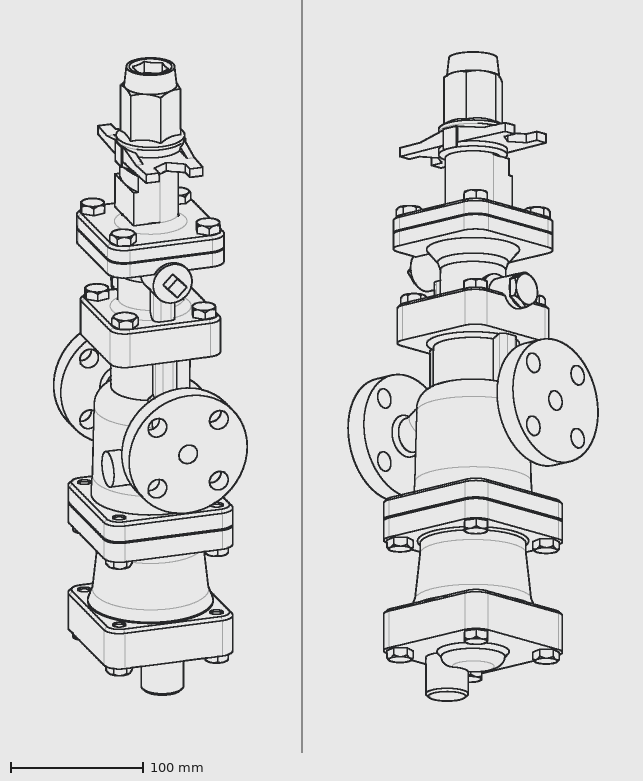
import cadquery as cq
import math

TOTAL_HEIGHT = 495.0

FACE_TO_FACE = 170.0
PIPE_FLANGE_DIA = 95.0
PIPE_FLANGE_THICKNESS = 16.5
PIPE_AXIS_Z = 211.5
PIPE_DIA = 26.0
PIPE_COLLAR_DIA = 32.0
PIPE_COLLAR_LENGTH = 4.0
PORT_DIA = 15.0
PORT_DEPTH = 29.5
FLANGE_BOLT_CIRCLE = 70.0
FLANGE_BOLT_HOLE_DIA = 15.0
ELBOW_X = 58.5
ELBOW_ANGLE = 31.0
ELBOW_RADIUS = 26.0
ELBOW_LEG = 39.5

TRAP_COVER = {"bottom": 30.0, "top": 61.5, "side": 103.0, "corner": 12.5}
BODY_BASE = {"bottom": 117.0, "joint": 132.5, "top": 148.5, "side": 103.0, "corner": 12.5}
VALVE_SEAT = {"bottom": 271.5, "top": 301.0, "side": 88.0, "corner": 12.0}
BONNET = {"bottom": 345.0, "joint": 357.0, "top": 370.0, "side": 93.0, "corner": 13.5}
FLANGE_CHAMFER = 2.5
JOINT_GAP = 1.0
JOINT_DEPTH = 1.0
GASKET_DIA = 80.0

BOLT_ACROSS_FLATS = 17.5
BOLT_HEAD_HEIGHT = 7.0
BOLT_CHAMFER = 1.5
BOLT_HOLE_DIA = 10.0
BOLT_HOLE_RECESS = 1.5
LOWER_BOLT_OFFSET = 39.0
SEAT_BOLT_OFFSET = 31.5
BONNET_BOLT_OFFSET = 34.0

NECK_RADIUS = 24.8
UPPER_BODY_RADIUS = 60.0 / 2
TRAP_TOP_RADIUS = 80.0 / 2
BODY_RADIUS = 88.0 / 2
BODY_FOOT_RADIUS = 90.0 / 2
TRAP_FOOT_RADIUS = 95.0 / 2
TRAP_FOOT_Z = 62.5
TRAP_TAPER_BOTTOM = 71.5
TRAP_TAPER_TOP = 107.5
TRAP_FLARE = 2.5
BODY_FOOT_TOP = 163.5
SHOULDER_RADIUS = 42.5
SHOULDER_BOTTOM = 219.0
SHOULDER_ARC_MIDDLE = (38.5, 230.5)
SHOULDER_TOP = 235.5
UPPER_BODY_FLARE_HEIGHT = 3.0
FLARE_RADIUS = 35.0
NECK_FOOT_FILLET = 6.0
NECK_TOP = 329.0
NECK_BELL_RADIUS = 26.5
NECK_BELL_Z = 335.0

DISH_BOTTOM = 19.0
DISH_FLAT_RADIUS = 16.0
DISH_ARC_MIDDLE = (22.0, 21.5)
DISH_ARC_END = (24.5, 26.0)
DISH_ROOT_RADIUS = 27.5

RIB_REACH = 39.0
RIB_WIDTH = 17.0
RIB_ROUNDING = 4.5
RIB_BOTTOM = 227.5
CHANNEL_REACH = 34.5
CHANNEL_TOP = 326.5
STRAINER_PLUG_Z = 304.0
STRAINER_PLUG_ACROSS_FLATS = 24.0
STRAINER_BOSS_DIA = 26.0
STRAINER_FLARE_RADIUS = 17.5
STRAINER_FLARE_X = 28.0
STRAINER_BOSS_REACH = 49.5
STRAINER_PLUG_REACH = 55.5
PILOT_PLUG_Z = 337.0
PILOT_BOSS_DIA = 31.0
PILOT_BOSS_REACH = 50.0
PILOT_PLUG_DIAGONAL = 15.5
PILOT_PLUG_REACH = 60.5
FRONT_BOSS_DIA = 27.0
FRONT_BOSS_X = 29.0
FRONT_BOSS_Z = 184.5
FRONT_BOSS_REACH = 44.5

OUTLET_DIA = 32.0
OUTLET_X = 26.5
OUTLET_CHAMFER = 2.0

STEM_DIA = 42.0
STEM_FLARE = 6.5
PAD_STEP_Z = 403.0
PAD_TOP_Z = 416.0
UPPER_PAD_DEPTH = 17.5
COLLAR_DIA = 52.0
COLLAR_FOOT_Z = 417.0
COLLAR_RIM_Z = 437.0
COLLAR_CONE_TOP = 443.0
HUB_RADIUS = 24.0
COLLAR_BOTTOM = 419.5
CAP_HEX_BOTTOM = 439.5
CAP_HEX_TOP = 480.0
CAP_ACROSS_FLATS = 40.0
CAP_TOP_DIA = 36.5
CAP_HEX_CHAMFER = 2.0
SOCKET_ACROSS_FLATS = 24.0
SOCKET_DEPTH = 10.0
SOCKET_MOUTH_DIA = 32.0
SOCKET_MOUTH_DEPTH = 1.5
HANDLE_LENGTH = 108.5
HANDLE_WIDTH = 45.5
HANDLE_BOTTOM = 423.0
HANDLE_TOP = 430.0
FORK_WIDTH = 24.8
FORK_SHOULDER_X = 43.5
FORK_TIP_X = 35.5
GUSSET_LENGTH = 65.5
GUSSET_OUTER_Y = 24.8
GUSSET_THICKNESS = 7.0
GUSSET_TOP_Z = 435.5
CLASP_WIDTH = 13.5

EPS = 0.5


def cylinder_z(dia, bottom, top, x=0, y=0):
    """Vertical cylinder between two heights."""
    return cq.Workplane("XY", origin=(x, y, bottom)).circle(dia / 2).extrude(top - bottom)


def cylinder_x(dia, start, end, z):
    """Cylinder along X, centred on the XZ plane."""
    return cq.Workplane("YZ", origin=(start, 0, z)).circle(dia / 2).extrude(end - start)


def box_between(x0, x1, y0, y1, z0, z1):
    """Box given by its limits along X, Y and Z."""
    return cq.Workplane("XY").box(x1 - x0, y1 - y0, z1 - z0, centered=False).translate((x0, y0, z0))


def hexagon_z(across_flats, height):
    """Hexagonal prism standing on the XY plane with two corners on the X axis."""
    return cq.Workplane("XY").polygon(6, 2 * across_flats / math.sqrt(3)).extrude(height)


def revolve_z(profile):
    """Turn a closed XZ profile round the Z axis."""
    return profile.close().revolve(360, (0, 0, 0), (0, 1, 0))


def at_corners(offset):
    """Angle and position of four points at the corners of a square of half side offset."""
    radius = offset * math.sqrt(2)
    corners = []
    for angle in (45, 135, 225, 315):
        turn = math.radians(angle)
        corners.append((angle, radius * math.cos(turn), radius * math.sin(turn)))
    return corners


def chamfered_hexagon(across_flats, height, chamfer):
    """Hexagonal prism whose top corners are turned down to the flats."""
    corner_radius = across_flats / math.sqrt(3)
    turned = revolve_z(
        cq.Workplane("XZ").lineTo(corner_radius, 0).lineTo(corner_radius, height - chamfer)
        .lineTo(across_flats / 2, height).lineTo(0, height)
    )
    return hexagon_z(across_flats, height).intersect(turned)


def square_flange(size):
    """Rounded square block of two plates, chamfered on top."""
    height = size["top"] - size["bottom"]
    return (
        cq.Workplane("XY", origin=(0, 0, size["bottom"]))
        .rect(size["side"], size["side"])
        .extrude(height)
        .edges("|Z")
        .fillet(size["corner"])
        .faces(">Z")
        .chamfer(FLANGE_CHAMFER)
    )


def joint_slab(size):
    """Thin slab that fills the joint between the two plates of a flange."""
    half = size["side"] / 2 + 5
    low = size["joint"] - JOINT_GAP / 2
    return box_between(-half, half, -half, half, low, low + JOINT_GAP)


def grooved_flange(size):
    """Square flange whose joint shows as a shallow groove all round."""
    inner_side = size["side"] - 2 * JOINT_DEPTH
    core = (
        cq.Workplane("XY", origin=(0, 0, size["bottom"]))
        .rect(inner_side, inner_side)
        .extrude(size["top"] - size["bottom"])
        .edges("|Z")
        .fillet(size["corner"] - JOINT_DEPTH)
    )
    return square_flange(size).cut(joint_slab(size).cut(core))


def bonnet_flange():
    """Square flange whose plates are held apart by a round gasket."""
    gasket = cylinder_z(GASKET_DIA, BONNET["bottom"], BONNET["top"])
    return square_flange(BONNET).cut(joint_slab(BONNET).cut(gasket))


def bolt_heads(offset, seat_z, crown):
    """Four hexagon heads on a flange face, pointing up (crown 1) or down (crown -1)."""
    blank = chamfered_hexagon(BOLT_ACROSS_FLATS, BOLT_HEAD_HEIGHT, BOLT_CHAMFER)
    if crown < 0:
        blank = blank.mirror("XY")
    heads = cq.Workplane("XY")
    for angle, x, y in at_corners(offset):
        head = blank.rotate((0, 0, 0), (0, 0, 1), angle)
        heads = heads.add(head.translate((x, y, seat_z)))
    return heads.combine()


def bolt_end_recesses(size):
    """Shallow recesses over the bolt ends on top of a flange."""
    bottom = size["top"] - BOLT_HOLE_RECESS
    recesses = cq.Workplane("XY")
    for _, x, y in at_corners(LOWER_BOLT_OFFSET):
        recesses = recesses.add(cylinder_z(BOLT_HOLE_DIA, bottom, size["top"], x, y))
    return recesses.combine()


def bottom_dish():
    """Shallow rounded dish under the trap cover."""
    top = TRAP_COVER["bottom"] + EPS
    return revolve_z(
        cq.Workplane("XZ").moveTo(0, DISH_BOTTOM).lineTo(DISH_FLAT_RADIUS, DISH_BOTTOM)
        .threePointArc(DISH_ARC_MIDDLE, DISH_ARC_END)
        .lineTo(DISH_ROOT_RADIUS, top).lineTo(0, top)
    )


def trap_casing():
    """Tapered casing between the trap cover and the base of the main body."""
    bottom = TRAP_COVER["top"] - EPS
    top = BODY_BASE["bottom"] + EPS
    return revolve_z(
        cq.Workplane("XZ").moveTo(0, bottom).lineTo(TRAP_FOOT_RADIUS, bottom)
        .lineTo(TRAP_FOOT_RADIUS, TRAP_FOOT_Z).lineTo(BODY_RADIUS, TRAP_TAPER_BOTTOM)
        .lineTo(TRAP_TOP_RADIUS, TRAP_TAPER_TOP).lineTo(TRAP_TOP_RADIUS, top - TRAP_FLARE)
        .lineTo(TRAP_TOP_RADIUS + TRAP_FLARE, top).lineTo(0, top)
    )


def main_body():
    """Main body with a domed shoulder and a narrower upper part."""
    bottom = BODY_BASE["top"] - EPS
    top = VALVE_SEAT["bottom"]
    return revolve_z(
        cq.Workplane("XZ").moveTo(0, bottom).lineTo(BODY_FOOT_RADIUS, bottom)
        .lineTo(BODY_RADIUS, BODY_FOOT_TOP).lineTo(SHOULDER_RADIUS, SHOULDER_BOTTOM)
        .threePointArc(SHOULDER_ARC_MIDDLE, (UPPER_BODY_RADIUS, SHOULDER_TOP))
        .lineTo(UPPER_BODY_RADIUS, top - UPPER_BODY_FLARE_HEIGHT).lineTo(FLARE_RADIUS, top)
        .lineTo(FLARE_RADIUS, top + EPS).lineTo(0, top + EPS)
    )


def neck():
    """Waisted neck between the valve seat and bonnet flanges."""
    foot = VALVE_SEAT["top"]
    top = BONNET["bottom"]
    foot_radius = NECK_RADIUS + NECK_FOOT_FILLET
    return revolve_z(
        cq.Workplane("XZ").moveTo(0, foot - EPS).lineTo(foot_radius, foot - EPS)
        .lineTo(foot_radius, foot)
        .radiusArc((NECK_RADIUS, foot + NECK_FOOT_FILLET), NECK_FOOT_FILLET)
        .lineTo(NECK_RADIUS, NECK_TOP).lineTo(NECK_BELL_RADIUS, NECK_BELL_Z)
        .lineTo(FLARE_RADIUS, top).lineTo(FLARE_RADIUS, top + EPS).lineTo(0, top + EPS)
    )


def pipe_flange(back_x, face_x):
    """Round pipe flange with a short collar on its inner side."""
    inward = math.copysign(1, -face_x)
    collar_end = back_x + inward * PIPE_COLLAR_LENGTH
    profile = (
        cq.Workplane("XY").moveTo(face_x, 0).lineTo(face_x, PIPE_FLANGE_DIA / 2)
        .lineTo(back_x, PIPE_FLANGE_DIA / 2).lineTo(back_x, PIPE_COLLAR_DIA / 2)
        .lineTo(collar_end, PIPE_DIA / 2).lineTo(collar_end, 0).close()
    )
    return profile.revolve(360, (0, 0, 0), (1, 0, 0)).translate((0, 0, PIPE_AXIS_Z))


def flange_openings(face_x, inward):
    """Port and four bolt holes that enter from the flange face."""
    openings = cylinder_x(PORT_DIA, face_x, face_x + inward * PORT_DEPTH, PIPE_AXIS_Z)
    back_x = face_x + inward * PIPE_FLANGE_THICKNESS
    for _, y, z in at_corners(FLANGE_BOLT_CIRCLE / 2 / math.sqrt(2)):
        hole = cylinder_x(FLANGE_BOLT_HOLE_DIA, face_x, back_x, PIPE_AXIS_Z + z)
        openings = openings.union(hole.translate((0, y, 0)))
    return openings


def inlet_and_outlet():
    """Straight inlet on -X and an outlet on +X that bends up into the shoulder."""
    face_x = FACE_TO_FACE / 2
    back_x = face_x - PIPE_FLANGE_THICKNESS
    inlet = cylinder_x(PIPE_DIA, -back_x, 0, PIPE_AXIS_Z)
    bend = math.radians(ELBOW_ANGLE)
    tangent = ELBOW_RADIUS * math.tan(bend / 2)
    rise_x = -math.cos(bend)
    rise_z = math.sin(bend)
    axis = (
        cq.Workplane("XZ")
        .moveTo(back_x, PIPE_AXIS_Z)
        .lineTo(ELBOW_X + tangent, PIPE_AXIS_Z)
        .tangentArcPoint((ELBOW_X + tangent * rise_x, PIPE_AXIS_Z + tangent * rise_z), relative=False)
        .lineTo(ELBOW_X + ELBOW_LEG * rise_x, PIPE_AXIS_Z + ELBOW_LEG * rise_z)
    )
    outlet = (
        cq.Workplane("YZ", origin=(back_x, 0, PIPE_AXIS_Z))
        .circle(PIPE_DIA / 2)
        .sweep(axis)
    )
    inlet = inlet.union(pipe_flange(-back_x, -face_x))
    outlet = outlet.union(pipe_flange(back_x, face_x))
    return inlet, outlet


def side_ribs():
    """Vertical ribs on both sides of the upper body."""
    ribs = box_between(
        -RIB_REACH, RIB_REACH, -RIB_WIDTH / 2, RIB_WIDTH / 2, RIB_BOTTOM, VALVE_SEAT["bottom"] + EPS
    )
    return ribs.edges("|Z").fillet(RIB_ROUNDING)


def strainer_plug():
    """Flared boss with a large hexagon plug on -X, resting on the valve seat flange."""
    boss_radius = STRAINER_BOSS_DIA / 2
    boss = (
        cq.Workplane("XY").lineTo(0, STRAINER_FLARE_RADIUS)
        .lineTo(-NECK_RADIUS, STRAINER_FLARE_RADIUS).lineTo(-STRAINER_FLARE_X, boss_radius)
        .lineTo(-STRAINER_BOSS_REACH, boss_radius).lineTo(-STRAINER_BOSS_REACH, 0).close()
        .revolve(360, (0, 0, 0), (1, 0, 0))
    )
    length = STRAINER_PLUG_REACH - STRAINER_BOSS_REACH + EPS
    head = (
        chamfered_hexagon(STRAINER_PLUG_ACROSS_FLATS, length, BOLT_CHAMFER)
        .rotate((0, 0, 0), (0, 1, 0), -90)
        .translate((EPS - STRAINER_BOSS_REACH, 0, 0))
    )
    return boss.union(head).translate((0, 0, STRAINER_PLUG_Z))


def pilot_plug():
    """Boss with a square plug on +X of the neck, and the rounded channel below it."""
    boss = cylinder_x(PILOT_BOSS_DIA, 0, PILOT_BOSS_REACH, PILOT_PLUG_Z)
    side = PILOT_PLUG_DIAGONAL / math.sqrt(2)
    head = (
        cq.Workplane("YZ", origin=(PILOT_BOSS_REACH - EPS, 0, PILOT_PLUG_Z))
        .rect(side, side)
        .extrude(PILOT_PLUG_REACH - PILOT_BOSS_REACH + EPS)
        .rotate((0, 0, PILOT_PLUG_Z), (1, 0, PILOT_PLUG_Z), 45)
    )
    half_width = RIB_WIDTH / 2
    channel = box_between(
        0, CHANNEL_REACH, -half_width, half_width, VALVE_SEAT["top"] - EPS, CHANNEL_TOP
    )
    channel = channel.edges("|Z and >X").fillet(RIB_ROUNDING)
    return boss.union(head).union(channel)


def front_boss():
    """Round boss on the -Y side of the main body."""
    return (
        cq.Workplane("XZ", origin=(FRONT_BOSS_X, 0, FRONT_BOSS_Z))
        .circle(FRONT_BOSS_DIA / 2)
        .extrude(FRONT_BOSS_REACH)
    )


def drain_outlet():
    """Vertical pipe under the trap cover."""
    pipe = cylinder_z(OUTLET_DIA, 0, TRAP_COVER["bottom"] + EPS, OUTLET_X)
    return pipe.faces("<Z").chamfer(OUTLET_CHAMFER)


def stem():
    """Stem with a flared foot and a squared, stepped front half."""
    foot = BONNET["top"]
    radius = STEM_DIA / 2
    shaft = revolve_z(
        cq.Workplane("XZ").moveTo(0, foot - EPS).lineTo(radius + STEM_FLARE, foot - EPS)
        .lineTo(radius + STEM_FLARE, foot)
        .radiusArc((radius, foot + STEM_FLARE), STEM_FLARE)
        .lineTo(radius, CAP_HEX_BOTTOM).lineTo(0, CAP_HEX_BOTTOM)
    )
    lower_pad = box_between(-radius, radius, -radius, 0, foot + STEM_FLARE, PAD_STEP_Z)
    upper_pad = (
        cq.Workplane("XY", origin=(0, 0, PAD_STEP_Z - EPS))
        .moveTo(-radius, 0).lineTo(-radius, -UPPER_PAD_DEPTH)
        .threePointArc((0, -radius), (radius, -UPPER_PAD_DEPTH))
        .lineTo(radius, 0).close().extrude(PAD_TOP_Z - PAD_STEP_Z + EPS)
    )
    return shaft.union(lower_pad).union(upper_pad)


def handle():
    """Flat handle with a V-bottomed fork at each end and stiffened edges."""
    half = HANDLE_LENGTH / 2
    thickness = HANDLE_TOP - HANDLE_BOTTOM
    column = (
        cq.Workplane("XY", origin=(0, 0, HANDLE_BOTTOM))
        .polyline([
            (-half, -HANDLE_WIDTH / 2), (0, -GUSSET_OUTER_Y), (half, -HANDLE_WIDTH / 2),
            (half, HANDLE_WIDTH / 2), (0, GUSSET_OUTER_Y), (-half, HANDLE_WIDTH / 2),
        ])
        .close().extrude(GUSSET_TOP_Z - HANDLE_BOTTOM)
    )
    plate = column.intersect(
        box_between(-half, half, -GUSSET_OUTER_Y, GUSSET_OUTER_Y, HANDLE_BOTTOM, HANDLE_TOP)
    )
    fork = (
        cq.Workplane("XY", origin=(0, 0, HANDLE_BOTTOM))
        .moveTo(half, FORK_WIDTH / 2).lineTo(FORK_SHOULDER_X, FORK_WIDTH / 2)
        .lineTo(FORK_TIP_X, 0).lineTo(FORK_SHOULDER_X, -FORK_WIDTH / 2)
        .lineTo(half, -FORK_WIDTH / 2).close().extrude(thickness)
    )
    plate = plate.cut(fork).cut(fork.mirror("YZ"))
    gusset = (
        cq.Workplane("XZ", origin=(0, GUSSET_OUTER_Y, 0))
        .moveTo(-GUSSET_LENGTH / 2, HANDLE_BOTTOM).lineTo(-GUSSET_LENGTH / 2, HANDLE_TOP)
        .lineTo(-CLASP_WIDTH / 2, GUSSET_TOP_Z).lineTo(CLASP_WIDTH / 2, GUSSET_TOP_Z)
        .lineTo(GUSSET_LENGTH / 2, HANDLE_TOP).lineTo(GUSSET_LENGTH / 2, HANDLE_BOTTOM)
        .close().extrude(GUSSET_THICKNESS)
    )
    clasp = box_between(
        -CLASP_WIDTH / 2, CLASP_WIDTH / 2, -COLLAR_DIA / 2, COLLAR_DIA / 2, COLLAR_BOTTOM, GUSSET_TOP_Z
    )
    gussets = gusset.union(gusset.mirror("XZ")).intersect(column)
    return plate.union(gussets).union(clasp)


def cap():
    """Round collars, hexagon and tapered top with a hexagon socket."""
    rim = COLLAR_DIA / 2
    turned = revolve_z(
        cq.Workplane("XZ").moveTo(0, COLLAR_FOOT_Z).lineTo(STEM_DIA / 2, COLLAR_FOOT_Z)
        .lineTo(rim, COLLAR_BOTTOM).lineTo(rim, HANDLE_BOTTOM)
        .lineTo(HUB_RADIUS, HANDLE_BOTTOM).lineTo(HUB_RADIUS, HANDLE_TOP)
        .lineTo(rim, COLLAR_RIM_Z).lineTo(rim, CAP_HEX_BOTTOM)
        .lineTo(CAP_ACROSS_FLATS / 2, COLLAR_CONE_TOP).lineTo(0, COLLAR_CONE_TOP)
    )
    hexagon = chamfered_hexagon(CAP_ACROSS_FLATS, CAP_HEX_TOP - CAP_HEX_BOTTOM, CAP_HEX_CHAMFER)
    hexagon = hexagon.translate((0, 0, CAP_HEX_BOTTOM))
    taper = (
        cq.Workplane("XY", origin=(0, 0, CAP_HEX_TOP - EPS))
        .circle(CAP_ACROSS_FLATS / 2)
        .workplane(offset=TOTAL_HEIGHT - CAP_HEX_TOP + EPS)
        .circle(CAP_TOP_DIA / 2)
        .loft()
    )
    socket = hexagon_z(SOCKET_ACROSS_FLATS, SOCKET_DEPTH)
    socket = socket.translate((0, 0, TOTAL_HEIGHT - SOCKET_DEPTH))
    mouth = (
        cq.Workplane("XY", origin=(0, 0, TOTAL_HEIGHT - SOCKET_MOUTH_DEPTH))
        .circle(SOCKET_ACROSS_FLATS / 2)
        .workplane(offset=SOCKET_MOUTH_DEPTH)
        .circle(SOCKET_MOUTH_DIA / 2)
        .loft()
    )
    return turned.union(hexagon).union(taper).cut(socket).cut(mouth)


result = main_body().union(side_ribs())
for pipe in inlet_and_outlet():
    result = result.union(pipe)
result = result.union(square_flange(TRAP_COVER)).union(square_flange(VALVE_SEAT))
result = result.union(grooved_flange(BODY_BASE)).union(bonnet_flange())
result = result.union(trap_casing()).union(bottom_dish()).union(neck())

for fitting in (strainer_plug(), pilot_plug(), front_boss(), drain_outlet()):
    result = result.union(fitting)

for flange in (TRAP_COVER, BODY_BASE):
    result = result.union(bolt_heads(LOWER_BOLT_OFFSET, flange["bottom"], -1))
    result = result.cut(bolt_end_recesses(flange))
result = result.union(bolt_heads(SEAT_BOLT_OFFSET, VALVE_SEAT["top"], 1))
result = result.union(bolt_heads(BONNET_BOLT_OFFSET, BONNET["top"], 1))

result = result.union(stem()).union(handle()).union(cap())

face = FACE_TO_FACE / 2
result = result.cut(flange_openings(-face, 1)).cut(flange_openings(face, -1))